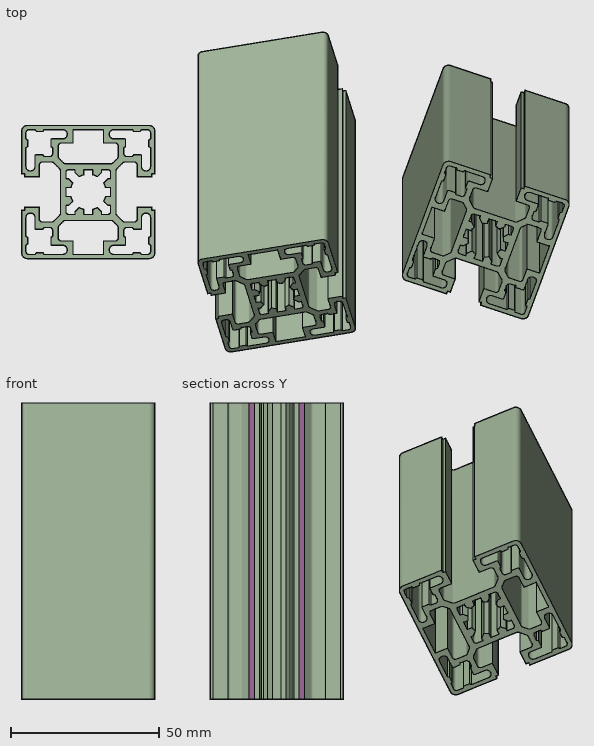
import math

import cadquery as cq

SIDE = 45.0
LENGTH = 100.0
CORNER_RADIUS = 2.0
WALL = 1.5
HALF = SIDE / 2
QUARTER_TURNS = (0, 90, 180, 270)
HALF_TURNS = (0, 180)
INNER_FACE = HALF - WALL

MOUTH_HALF = 5.1
LIP_FACE = 16.5
CHAMBER_HALF = 10.1
OPEN_FLOOR = 9.4
CLOSED_FLOOR = 9.6
OPEN_FLOOR_CHAMFER = 2.5
CLOSED_FLOOR_CHAMFER = 2.0
CHAMBER_RADIUS = 1.0
MOUTH_STEP = 1.0

POCKET_END = 7.15
ARM_FACE = 18.0
POCKET_INNER = 12.0
POCKET_OUTER_RADIUS = 1.0
POCKET_INNER_RADIUS = 1.0
ARM_END_RADIUS = 1.4
PAD_CENTER = 16.4
PAD_TOP_HALF = 1.1
PAD_HEIGHT = 0.6
PAD_SLOPE = 0.4
PAD_CORNER_RADIUS = 0.4

BORE_HALF = 7.5
BORE_CORNER_RADIUS = 0.9
SCREW_RADIUS = 6.0
TOOTH_NEAR = 1.5
TOOTH_TIP = 3.05
TOOTH_FAR = 4.5


def outer_body():
    return cq.Workplane("XY").rect(SIDE, SIDE).extrude(LENGTH).edges("|Z").fillet(CORNER_RADIUS)


def box(x_min, x_max, y_min, y_max):
    """Full-length block between the given X and Y limits."""
    return (
        cq.Workplane("XY")
        .center((x_min + x_max) / 2, (y_min + y_max) / 2)
        .rect(x_max - x_min, y_max - y_min)
        .extrude(LENGTH)
    )


def turned(shape, angle):
    return shape.rotate((0, 0, 0), (0, 0, 1), angle)


def chamber(floor, floor_chamfer, mouth_end):
    """T-shaped chamber on the +Y side, from its floor out to mouth_end."""
    wide = box(-CHAMBER_HALF, CHAMBER_HALF, floor, LIP_FACE)
    wide = wide.edges("|Z and <Y").chamfer(floor_chamfer)
    wide = wide.edges("|Z").fillet(CHAMBER_RADIUS)
    mouth = box(-MOUTH_HALF, MOUTH_HALF, (floor + LIP_FACE) / 2, mouth_end)
    return wide.union(mouth)


def open_slot():
    """Chamber that breaks through the outer wall, with stepped outer edges."""
    step_half = MOUTH_HALF + MOUTH_STEP
    step = box(-step_half, step_half, HALF - MOUTH_STEP, HALF)
    return chamber(OPEN_FLOOR, OPEN_FLOOR_CHAMFER, HALF).union(step)


def closed_chamber():
    return chamber(CLOSED_FLOOR, CLOSED_FLOOR_CHAMFER, INNER_FACE)


def edge_at(x, y):
    """Selector for the lengthwise edge through the point (x, y)."""
    return cq.selectors.NearestToPointSelector((x, y, LENGTH / 2))


def wall_pad():
    """Sloped pad on the +Y wall of a pocket."""
    foot_half = PAD_TOP_HALF + PAD_SLOPE
    top = INNER_FACE - PAD_HEIGHT
    return (
        cq.Workplane("XY")
        .moveTo(PAD_CENTER - foot_half, INNER_FACE)
        .lineTo(PAD_CENTER + foot_half, INNER_FACE)
        .lineTo(PAD_CENTER + PAD_TOP_HALF, top)
        .lineTo(PAD_CENTER - PAD_TOP_HALF, top)
        .close()
        .extrude(LENGTH)
    )


def shelf_pad():
    """Pad facing the wall pad, sloped on one side and flush with the pocket arm on the other."""
    top = POCKET_INNER + PAD_HEIGHT
    pad_start = PAD_CENTER - PAD_TOP_HALF
    return (
        cq.Workplane("XY")
        .moveTo(pad_start - PAD_SLOPE, POCKET_INNER)
        .lineTo(ARM_FACE, POCKET_INNER)
        .lineTo(ARM_FACE, top)
        .lineTo(pad_start, top)
        .close()
        .extrude(LENGTH)
    )


def swapped_xy(shape):
    """Mirror a shape across the plane x = y."""
    return turned(shape.mirror("XZ"), 90)


def corner_pocket():
    """L-shaped pocket of the +X +Y corner, narrowed by four pads."""
    pocket = (
        cq.Workplane("XY")
        .moveTo(POCKET_END, INNER_FACE)
        .lineTo(INNER_FACE, INNER_FACE)
        .lineTo(INNER_FACE, POCKET_END)
        .lineTo(ARM_FACE, POCKET_END)
        .lineTo(ARM_FACE, POCKET_INNER)
        .lineTo(POCKET_INNER, POCKET_INNER)
        .lineTo(POCKET_INNER, ARM_FACE)
        .lineTo(POCKET_END, ARM_FACE)
        .close()
        .extrude(LENGTH)
    )
    pocket = pocket.edges(edge_at(INNER_FACE, INNER_FACE)).fillet(POCKET_OUTER_RADIUS)
    pocket = pocket.edges(edge_at(POCKET_INNER, POCKET_INNER)).fillet(POCKET_INNER_RADIUS)
    for side in (INNER_FACE, ARM_FACE):
        pocket = pocket.edges(edge_at(side, POCKET_END)).fillet(ARM_END_RADIUS)
        pocket = pocket.edges(edge_at(POCKET_END, side)).fillet(ARM_END_RADIUS)

    for pad in (wall_pad(), shelf_pad()):
        pocket = pocket.cut(pad).cut(swapped_xy(pad))

    pad_face = POCKET_INNER + PAD_HEIGHT
    pocket = pocket.edges(edge_at(pad_face, ARM_FACE)).fillet(PAD_CORNER_RADIUS)
    return pocket.edges(edge_at(ARM_FACE, pad_face)).fillet(PAD_CORNER_RADIUS)


def bore_tooth():
    """Tooth on the +Y wall of the bore, tipped by the screw circle."""
    tip_y = math.sqrt(SCREW_RADIUS**2 - TOOTH_TIP**2)
    near_y = math.sqrt(SCREW_RADIUS**2 - TOOTH_NEAR**2)
    far_y = tip_y + TOOTH_FAR - TOOTH_TIP
    middle_x = (TOOTH_NEAR + TOOTH_TIP) / 2
    middle_y = math.sqrt(SCREW_RADIUS**2 - middle_x**2)
    return (
        cq.Workplane("XY")
        .moveTo(TOOTH_NEAR, BORE_HALF)
        .lineTo(TOOTH_NEAR, near_y)
        .threePointArc((middle_x, middle_y), (TOOTH_TIP, tip_y))
        .lineTo(TOOTH_FAR, far_y)
        .lineTo(TOOTH_FAR, BORE_HALF)
        .close()
        .extrude(LENGTH)
    )


def bore():
    hole = box(-BORE_HALF, BORE_HALF, -BORE_HALF, BORE_HALF)
    hole = hole.edges("|Z").fillet(BORE_CORNER_RADIUS)
    tooth = bore_tooth()
    for angle in QUARTER_TURNS:
        hole = hole.cut(turned(tooth, angle))
        hole = hole.cut(turned(tooth.mirror("YZ"), angle))
    return hole


result = outer_body().cut(bore())
for angle in HALF_TURNS:
    result = result.cut(turned(closed_chamber(), angle))
    result = result.cut(turned(open_slot(), angle + 90))
for angle in QUARTER_TURNS:
    result = result.cut(turned(corner_pocket(), angle))